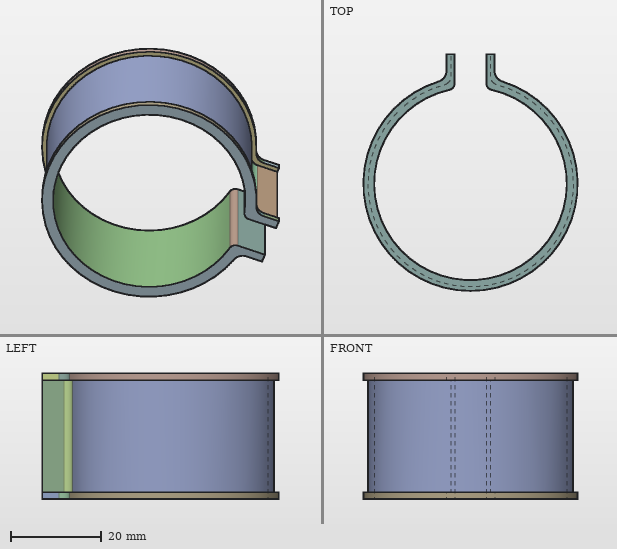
import cadquery as cq

height = 28.0
inner_radius = 21.35
wall_thickness = 1.45
rim_projection = 1.0
rim_height = 1.6
body_radius = inner_radius + wall_thickness
rim_radius = body_radius + rim_projection

gap_width = 7.0
tab_thickness = 0.85
tab_end_y = 28.76
rim_tab_thickness = tab_thickness + rim_projection

inner_bend_radius = 1.5
body_bend_radius = 2.0
rim_bend_radius = 2.5


def clamp_layer(outer_radius, tab_width, outer_bend_radius, layer_height):
    """Split ring with two tabs and rounded bends, standing on Z = 0."""
    outer_half_width = gap_width / 2 + tab_width
    disc = cq.Workplane("XY").circle(outer_radius).extrude(layer_height)
    tab_block = (
        cq.Workplane("XY")
        .rect(2 * outer_half_width, tab_end_y)
        .extrude(layer_height)
        .translate((0, tab_end_y / 2, 0))
    )
    bore = cq.Workplane("XY").circle(inner_radius).extrude(layer_height)
    gap = (
        cq.Workplane("XY")
        .rect(gap_width, tab_end_y)
        .extrude(layer_height)
        .translate((0, tab_end_y / 2, 0))
    )
    layer = disc.union(tab_block).cut(bore).cut(gap)

    outer_bend_y = (outer_radius**2 - outer_half_width**2) ** 0.5
    layer = fillet_pair(layer, outer_half_width, outer_bend_y, layer_height, outer_bend_radius)

    inner_bend_y = (inner_radius**2 - (gap_width / 2) ** 2) ** 0.5
    return fillet_pair(layer, gap_width / 2, inner_bend_y, layer_height, inner_bend_radius)


def fillet_pair(layer, edge_x, edge_y, layer_height, radius):
    """Round the two upright edges at (+/-edge_x, edge_y)."""
    for x in (-edge_x, edge_x):
        edge_middle = (x, edge_y, layer_height / 2)
        layer = layer.edges(cq.selectors.NearestToPointSelector(edge_middle)).fillet(radius)
    return layer


body = clamp_layer(body_radius, tab_thickness, body_bend_radius, height)
rim = clamp_layer(rim_radius, rim_tab_thickness, rim_bend_radius, rim_height)

result = body.union(rim).union(rim.translate((0, 0, height - rim_height)))